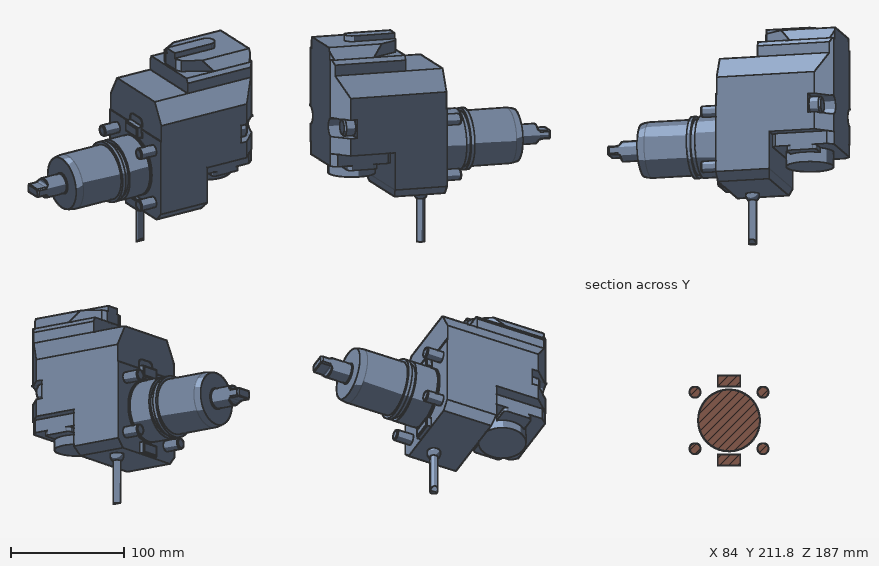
import cadquery as cq
import math


WIDTH = 84.0
HALF_WIDTH = WIDTH / 2
ROOF_HALF_WIDTH = 31.1
ROOF_Z = 72.0
SHOULDER_Z = 53.0
BOTTOM_Z = -40.2
CORNER_X = 7.0
CORNER_Z = 7.6

STEP_DEPTH = 0.6
STEP_Z = 37.7

REAR_Y = 104.2
REAR_CHAMFER = 14.2
LEG_REAR_Y = 48.7
LEG_TAPER_Y = 2.0
HEAD_FLOOR_Z = 1.0

TIER_FRONT_Y = 35.2
TIER_EDGE_Z = 81.8
TIER_TOP_Z = 85.8
PLATE_TOP_Z = 96.4
PLATE_TOP_HALF_WIDTH = 23.5
PLATE_FRONT_Y = 37.0
PLATE_NOSE_HALF_WIDTH = 8.5
PLATE_NOSE_CORNER_X = 13.8
PLATE_NOSE_CORNER_Y = 39.2
PLATE_SIDE_Y = 64.0
PLATE_SIDE_HALF_WIDTH = 29.0
PLATE_REAR_CHAMFER_X = 3.8
PLATE_REAR_CHAMFER_Y = 3.4
RIB_WIDTH = 13.5
RIB_END_Y = 81.8
RIB_TOP_Z = 101.5

SPINDLE_Y = 75.2
FLANGE_HALF_WIDTH = 31.8
FLANGE_DIAMETER = 79.0
FLANGE_BOTTOM_Z = -10.4
TAB_LENGTH = 27.1
TAB_RADIUS = 3.4
TAB_BOTTOM_Z = -14.6
NUT_DIAMETER = 42.0
NUT_BOTTOM_Z = -23.3

SCREW_X = 30.0
SCREW_Z = 25.0
SCREW_DIAMETER = 10.0
SCREW_TIP_Y = -15.9
SCREW_CHAMFER_LENGTH = 1.0
SCREW_CHAMFER_DEPTH = 0.75
SCREW_HEAD_DIAMETER = 16.0
SCREW_HEAD_REAR_Y = 94.3
SCREW_HEAD_CHAMFER = 1.7
SLOT_HEIGHT = 16.7
SLOT_FLOOR_Y = 84.0
LUG_HALF_WIDTH = 29.9
LUG_TOP_Z = 33.9

KEY_WIDTH = 20.0
KEY_HEIGHT = 10.0
KEY_CENTER_Z = 35.0
KEY_FACE_Y = -4.7
KEY_CHAMFER = 1.0
RUNOUT_TOP_Z = 47.0
RUNOUT_RADIUS = 4.7
RELIEF_WIDTH = 22.5
RELIEF_TOP_Z = 34.3
RELIEF_BOTTOM_Z = 28.5
RELIEF_RADIUS = 2.5
POCKET_DEPTH = 0.6

SHANK_DIAMETER = 49.8
COLLAR_DIAMETER = 55.0
NECK_DIAMETER = 54.6
ROOT_RING_Y = -0.8
NECK_END_Y = -2.1
COLLAR_END_Y = -23.0
RING_START_Y = -27.3
RING_END_Y = -30.7
NOSE_START_Y = -70.3
NOSE_END_Y = -76.9
NOSE_DIAMETER = 47.0
NOSE_BULGE = 0.32

SHAFT_DIAMETER = 18.0
SHAFT_ROOT_DIAMETER = 19.3
SHAFT_ROOT_LENGTH = 1.0
TIP_Y = REAR_Y - 211.8
TIP_CHAMFER = 1.5
TONGUE_THICKNESS = 7.8
TONGUE_SHOULDER_Y = -96.4
TONGUE_FILLET = 2.0
TONGUE_EDGE_CHAMFER = 0.6
TONGUE_FACE_HALF_WIDTH = 7.0
TONGUE_BEVEL_DROP = 1.5

NOZZLE_X = -20.1
NOZZLE_Y = 17.5
BALL_DIAMETER = 12.0
BALL_Z = -41.5
TUBE_DIAMETER = 7.0
TUBE_END_Z = -85.5
TUBE_CHAMFER = 3.5


def box(x0, x1, y0, y1, z0, z1):
    return cq.Workplane("XY").box(x1 - x0, y1 - y0, z1 - z0, centered=False).translate((x0, y0, z0))


def along_y(outline, y0, y1):
    """Extrude a closed outline, drawn on an XZ workplane at Y = 0, from y0 to y1."""
    return outline.extrude(-(y1 - y0)).translate((0, y0, 0))


def y_cylinder(diameter, x, z, y0, y1):
    return along_y(cq.Workplane("XZ").center(x, z).circle(diameter / 2), y0, y1)


def make_shank():
    """Stepped cylindrical shank with two collars, a root neck and a rounded nose."""
    shank_r = SHANK_DIAMETER / 2
    collar_r = COLLAR_DIAMETER / 2
    neck_r = NECK_DIAMETER / 2
    nose_r = NOSE_DIAMETER / 2
    nose_middle = ((shank_r + nose_r) / 2 + NOSE_BULGE, (NOSE_START_Y + NOSE_END_Y) / 2)
    profile = (
        cq.Workplane("XY")
        .moveTo(0, STEP_DEPTH)
        .lineTo(collar_r, STEP_DEPTH)
        .lineTo(collar_r, ROOT_RING_Y)
        .lineTo(neck_r, ROOT_RING_Y)
        .lineTo(neck_r, NECK_END_Y)
        .lineTo(collar_r, NECK_END_Y)
        .lineTo(collar_r, COLLAR_END_Y)
        .lineTo(shank_r, COLLAR_END_Y)
        .lineTo(shank_r, RING_START_Y)
        .lineTo(collar_r, RING_START_Y)
        .lineTo(collar_r, RING_END_Y)
        .lineTo(shank_r, RING_END_Y)
        .lineTo(shank_r, NOSE_START_Y)
        .threePointArc(nose_middle, (nose_r, NOSE_END_Y))
        .lineTo(0, NOSE_END_Y)
        .close()
    )
    return profile.revolve(360, (0, 0, 0), (0, 1, 0))


def make_drive_shaft():
    """Round shaft with a conical root on the shank nose and an end milled to a flat tongue."""
    radius = SHAFT_DIAMETER / 2
    half_tongue = TONGUE_THICKNESS / 2
    shaft = (
        cq.Workplane("XY")
        .polyline([
            (0, NOSE_END_Y),
            (SHAFT_ROOT_DIAMETER / 2, NOSE_END_Y),
            (radius, NOSE_END_Y - SHAFT_ROOT_LENGTH),
            (radius, TIP_Y + TIP_CHAMFER),
            (radius - TIP_CHAMFER, TIP_Y),
            (0, TIP_Y),
        ])
        .close()
        .revolve(360, (0, 0, 0), (0, 1, 0))
    )

    corner_y = TONGUE_SHOULDER_Y - TONGUE_FILLET
    fillet_center = (corner_y, half_tongue + TONGUE_FILLET)
    fillet_middle = (
        fillet_center[0] + TONGUE_FILLET * math.sqrt(0.5),
        fillet_center[1] - TONGUE_FILLET * math.sqrt(0.5),
    )
    flat = (
        cq.Workplane("YZ")
        .moveTo(TIP_Y, radius)
        .lineTo(TIP_Y, half_tongue - TONGUE_EDGE_CHAMFER)
        .lineTo(TIP_Y + TONGUE_EDGE_CHAMFER, half_tongue)
        .lineTo(corner_y, half_tongue)
        .threePointArc(fillet_middle, (TONGUE_SHOULDER_Y, half_tongue + TONGUE_FILLET))
        .lineTo(TONGUE_SHOULDER_Y, radius)
        .close()
        .extrude(radius, both=True)
    )
    bevel = along_y(
        cq.Workplane("XZ").polyline([
            (TONGUE_FACE_HALF_WIDTH, half_tongue),
            (radius, half_tongue),
            (radius, half_tongue - TONGUE_BEVEL_DROP),
        ]).close(),
        TIP_Y,
        corner_y,
    )
    shoulder_ring = (
        cq.Workplane("XY")
        .polyline([
            (radius, TONGUE_SHOULDER_Y),
            (radius, TONGUE_SHOULDER_Y + TONGUE_EDGE_CHAMFER),
            (radius - TONGUE_EDGE_CHAMFER, TONGUE_SHOULDER_Y),
        ])
        .close()
        .revolve(360, (0, 0, 0), (0, 1, 0))
    )
    above_tongue = box(-radius, radius, TIP_Y, NOSE_END_Y, fillet_center[1], radius)
    shoulder_chamfer = shoulder_ring.intersect(above_tongue)
    one_side = flat.union(bevel).union(bevel.mirror("YZ")).union(shoulder_chamfer)
    return shaft.cut(one_side).cut(one_side.mirror("XY"))


def make_key(side):
    """Chamfered key above (side = 1) or below (side = -1) the shank."""
    outline = cq.Workplane("XZ").center(0, side * KEY_CENTER_Z).rect(KEY_WIDTH, KEY_HEIGHT)
    key = along_y(outline, KEY_FACE_Y, STEP_DEPTH + POCKET_DEPTH)
    return key.faces("<Y").chamfer(KEY_CHAMFER)


def cut_upper_keyway(body):
    """Rounded runout above the upper key and a wider relief at its foot."""
    runout = box(-KEY_WIDTH / 2, KEY_WIDTH / 2, 0, STEP_DEPTH + POCKET_DEPTH, KEY_CENTER_Z, RUNOUT_TOP_Z)
    runout = runout.edges("|Y and >Z").fillet(RUNOUT_RADIUS)
    relief = box(-RELIEF_WIDTH / 2, RELIEF_WIDTH / 2, 0, POCKET_DEPTH, RELIEF_BOTTOM_Z, RELIEF_TOP_Z)
    relief = relief.edges("|Y and <Z").fillet(RELIEF_RADIUS)
    return body.cut(runout).cut(relief)


def make_screw_end(x, z):
    screw = y_cylinder(SCREW_DIAMETER, x, z, SCREW_TIP_Y, STEP_DEPTH)
    return screw.faces("<Y").chamfer(SCREW_CHAMFER_LENGTH, SCREW_CHAMFER_DEPTH)


def make_nozzle():
    """Ball seated in the underside of the block with a coolant tube pointing down."""
    ball = cq.Workplane("XY").sphere(BALL_DIAMETER / 2).translate((0, 0, BALL_Z))
    radius = TUBE_DIAMETER / 2
    tube = cq.Workplane("XY").workplane(offset=TUBE_END_Z).circle(radius).extrude(BALL_Z - TUBE_END_Z)
    tip_cut = (
        cq.Workplane("XZ")
        .polyline([
            (radius, TUBE_END_Z),
            (radius - TUBE_CHAMFER, TUBE_END_Z),
            (radius, TUBE_END_Z + TUBE_CHAMFER),
        ])
        .close()
        .extrude(radius, both=True)
    )
    return ball.union(tube.cut(tip_cut)).translate((NOZZLE_X, NOZZLE_Y, 0))


def make_block():
    """Main block: stepped mounting face, keyways, and a spindle recess behind a tapered leg."""
    step = box(-HALF_WIDTH, HALF_WIDTH, 0, STEP_DEPTH, STEP_Z, ROOF_Z)
    recess = cq.Workplane("YZ").polyline([
        (LEG_REAR_Y - LEG_TAPER_Y, BOTTOM_Z),
        (LEG_REAR_Y, BOTTOM_Z + CORNER_Z),
        (LEG_REAR_Y, HEAD_FLOOR_Z),
        (REAR_Y, HEAD_FLOOR_Z),
        (REAR_Y, BOTTOM_Z),
    ]).close().extrude(HALF_WIDTH, both=True)
    outline = cq.Workplane("XZ").polyline([
        (-HALF_WIDTH + CORNER_X, BOTTOM_Z),
        (HALF_WIDTH - CORNER_X, BOTTOM_Z),
        (HALF_WIDTH, BOTTOM_Z + CORNER_Z),
        (HALF_WIDTH, SHOULDER_Z),
        (ROOF_HALF_WIDTH, ROOF_Z),
        (-ROOF_HALF_WIDTH, ROOF_Z),
        (-HALF_WIDTH, SHOULDER_Z),
        (-HALF_WIDTH, BOTTOM_Z + CORNER_Z),
    ]).close()
    return cut_upper_keyway(along_y(outline, 0, REAR_Y).cut(step).cut(recess))


def make_sloped_top(z0, z1, y0):
    """Slice z0..z1 of the sloped top, from y0 to the rear."""
    outline = cq.Workplane("XZ").polyline([
        (-ROOF_HALF_WIDTH, ROOF_Z),
        (ROOF_HALF_WIDTH, ROOF_Z),
        (ROOF_HALF_WIDTH, TIER_EDGE_Z),
        (PLATE_TOP_HALF_WIDTH, PLATE_TOP_Z),
        (-PLATE_TOP_HALF_WIDTH, PLATE_TOP_Z),
        (-ROOF_HALF_WIDTH, TIER_EDGE_Z),
    ]).close()
    return along_y(outline, y0, REAR_Y).intersect(box(-HALF_WIDTH, HALF_WIDTH, y0, REAR_Y, z0, z1))


def make_top_plate():
    """Top plate with a tapered nose, carrying a round-ended rib."""
    rear_x = PLATE_SIDE_HALF_WIDTH - PLATE_REAR_CHAMFER_X
    plan = (
        cq.Workplane("XY")
        .workplane(offset=TIER_TOP_Z)
        .polyline([
            (0, PLATE_FRONT_Y),
            (PLATE_NOSE_HALF_WIDTH, PLATE_FRONT_Y),
            (PLATE_NOSE_CORNER_X, PLATE_NOSE_CORNER_Y),
            (PLATE_SIDE_HALF_WIDTH, PLATE_SIDE_Y),
            (PLATE_SIDE_HALF_WIDTH, REAR_Y - PLATE_REAR_CHAMFER_Y),
            (rear_x, REAR_Y),
            (0, REAR_Y),
        ])
        .mirrorY()
        .extrude(PLATE_TOP_Z - TIER_TOP_Z)
    )
    plate = plan.intersect(make_sloped_top(TIER_TOP_Z, PLATE_TOP_Z, PLATE_FRONT_Y))
    rib_radius = RIB_WIDTH / 2
    rib = (
        cq.Workplane("XY")
        .workplane(offset=TIER_TOP_Z)
        .moveTo(-rib_radius, PLATE_FRONT_Y)
        .lineTo(rib_radius, PLATE_FRONT_Y)
        .lineTo(rib_radius, RIB_END_Y - rib_radius)
        .threePointArc((0, RIB_END_Y), (-rib_radius, RIB_END_Y - rib_radius))
        .close()
        .extrude(RIB_TOP_Z - TIER_TOP_Z)
    )
    return plate.union(rib)


def cut_rear_corners(body):
    """Flat vertical chamfers over the full height of both rear corners."""
    for side in (-1, 1):
        corner = (
            cq.Workplane("XY")
            .workplane(offset=BOTTOM_Z)
            .polyline([
                (side * (HALF_WIDTH - REAR_CHAMFER), REAR_Y),
                (side * HALF_WIDTH, REAR_Y),
                (side * HALF_WIDTH, REAR_Y - REAR_CHAMFER),
            ])
            .close()
            .extrude(PLATE_TOP_Z - BOTTOM_Z)
        )
        body = body.cut(corner)
    return body


def add_rear_screw(body, side):
    """Open slot in a rear corner, with a small lug over it and the screw head at its floor."""
    x = side * SCREW_X
    outer_x = side * HALF_WIDTH
    chamfer_x = HALF_WIDTH - REAR_CHAMFER
    lug_length = 2 * (LUG_HALF_WIDTH - chamfer_x)
    lug = box(chamfer_x, LUG_HALF_WIDTH, REAR_Y - lug_length, REAR_Y, SCREW_Z, LUG_TOP_Z)
    if side < 0:
        lug = lug.mirror("YZ")
    slot = y_cylinder(SLOT_HEIGHT, x, SCREW_Z, SLOT_FLOOR_Y, REAR_Y)
    half_height = SLOT_HEIGHT / 2
    opening = box(
        min(x, outer_x), max(x, outer_x), SLOT_FLOOR_Y, REAR_Y, SCREW_Z - half_height, SCREW_Z + half_height
    )
    head = y_cylinder(SCREW_HEAD_DIAMETER, x, SCREW_Z, SLOT_FLOOR_Y, SCREW_HEAD_REAR_Y)
    head = head.faces(">Y").chamfer(SCREW_HEAD_CHAMFER)
    return body.union(lug).cut(slot).cut(opening).union(head)


def make_spindle_side():
    """Flange under the head with a rounded tab across it and the round clamping nut."""
    flange = box(-FLANGE_HALF_WIDTH, FLANGE_HALF_WIDTH, LEG_REAR_Y, REAR_Y, FLANGE_BOTTOM_Z, HEAD_FLOOR_Z)
    disc = (
        cq.Workplane("XY")
        .workplane(offset=FLANGE_BOTTOM_Z)
        .center(0, SPINDLE_Y)
        .circle(FLANGE_DIAMETER / 2)
        .extrude(HEAD_FLOOR_Z - FLANGE_BOTTOM_Z)
    )
    flange = flange.intersect(disc)
    tab = box(
        -FLANGE_HALF_WIDTH,
        FLANGE_HALF_WIDTH,
        SPINDLE_Y - TAB_LENGTH / 2,
        SPINDLE_Y + TAB_LENGTH / 2,
        TAB_BOTTOM_Z,
        FLANGE_BOTTOM_Z,
    ).edges("|Z").fillet(TAB_RADIUS)
    nut = (
        cq.Workplane("XY")
        .workplane(offset=NUT_BOTTOM_Z)
        .center(0, SPINDLE_Y)
        .circle(NUT_DIAMETER / 2)
        .extrude(FLANGE_BOTTOM_Z - NUT_BOTTOM_Z)
    )
    return flange.union(tab).union(nut)


def make_housing():
    housing = make_block().union(make_sloped_top(ROOF_Z, TIER_TOP_Z, TIER_FRONT_Y))
    housing = cut_rear_corners(housing.union(make_top_plate()))
    for side in (-1, 1):
        housing = add_rear_screw(housing, side)
    housing = housing.union(make_spindle_side()).union(make_shank())
    for side in (-1, 1):
        housing = housing.union(make_key(side))
    for x in (-SCREW_X, SCREW_X):
        for z in (-SCREW_Z, SCREW_Z):
            housing = housing.union(make_screw_end(x, z))
    return housing.union(make_nozzle())


housing = make_housing()
drive_shaft = make_drive_shaft()
result = cq.Compound.makeCompound([housing.solids().val(), drive_shaft.solids().val()])